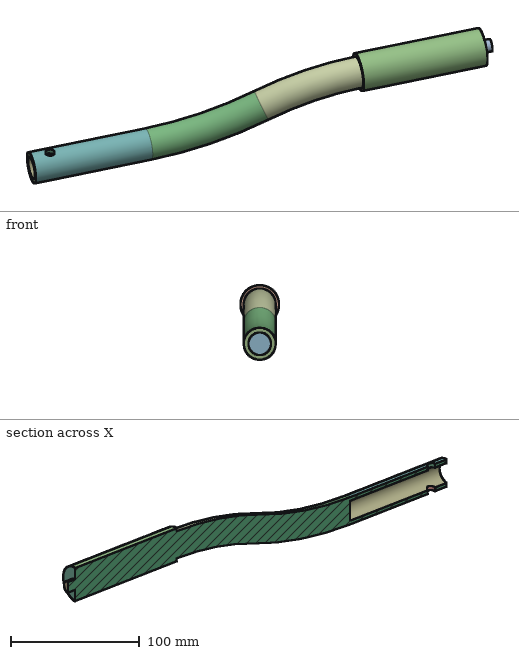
import cadquery as cq
import math

total_length = 372.5
tube_diameter = 25.0
bore_diameter = 17.5
straight_length = 94.5
grip_diameter = 30.0
grip_length = 100.2
stud_diameter = 10.0
stud_length = 7.0
grip_rise = 30.5
lower_bend_length = 92.0
pin_hole_diameter = 7.0
pin_hole_inset = 15.0

grip_start = total_length - stud_length - grip_length
stud_start = total_length - stud_length
bend_length = grip_start - straight_length
bend_angle = 2 * math.atan(grip_rise / bend_length)
lower_radius = lower_bend_length / math.sin(bend_angle)
upper_radius = (bend_length - lower_bend_length) / math.sin(bend_angle)


def rod(diameter, start, length, height):
    """Solid cylinder along +Y, starting at Y = start with its axis at Z = height."""
    origin = (0, start, height)
    plane = cq.Plane(origin=origin, xDir=(1, 0, 0), normal=(0, 1, 0))
    return cq.Workplane(plane).circle(diameter / 2).extrude(length)


def lower_arc_point(angle):
    """Point on the lower bend axis after turning up by the given angle."""
    y = straight_length + lower_radius * math.sin(angle)
    z = lower_radius * (1 - math.cos(angle))
    return (y, z)


def upper_arc_point(angle):
    """Point on the upper bend axis where the axis still slopes by the given angle."""
    y = grip_start - upper_radius * math.sin(angle)
    z = grip_rise - upper_radius * (1 - math.cos(angle))
    return (y, z)


def bent_tube():
    """Round bar swept along the straight length and the S-bend."""
    path = (
        cq.Workplane("YZ")
        .lineTo(straight_length, 0)
        .threePointArc(lower_arc_point(bend_angle / 2), lower_arc_point(bend_angle))
        .threePointArc(upper_arc_point(bend_angle / 2), (grip_start, grip_rise))
    )
    start_plane = cq.Plane(origin=(0, 0, 0), xDir=(1, 0, 0), normal=(0, 1, 0))
    return cq.Workplane(start_plane).circle(tube_diameter / 2).sweep(path)


def pin_hole():
    """Vertical cutter passing through both walls of the tube."""
    return (
        cq.Workplane("XY")
        .center(0, pin_hole_inset)
        .circle(pin_hole_diameter / 2)
        .extrude(tube_diameter, both=True)
    )


grip = rod(grip_diameter, grip_start, grip_length, grip_rise)
stud = rod(stud_diameter, stud_start, stud_length, grip_rise)
bore = rod(bore_diameter, 0, straight_length, 0)

result = bent_tube().union(grip).union(stud).cut(bore).cut(pin_hole())